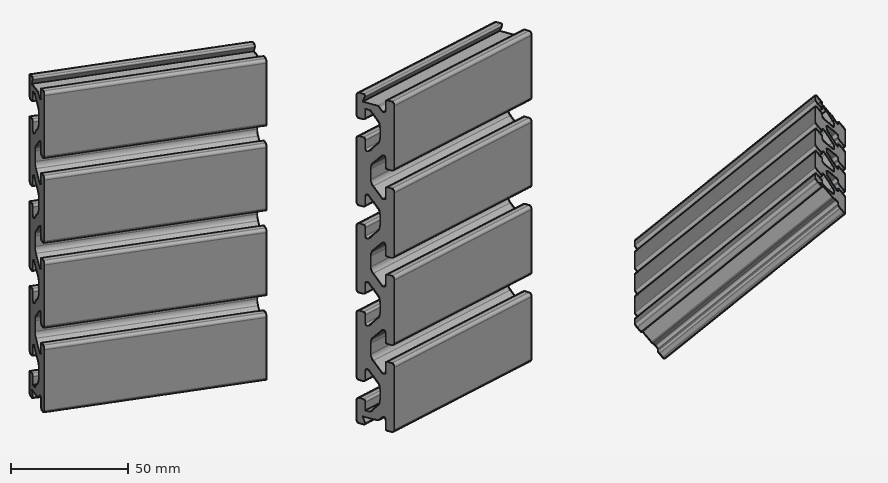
import cadquery as cq
import math


WIDTH = 20.0
LENGTH = 100.0
HEIGHT = 151.8

HALF_MOUTH = 4.1
SLOT_STEP = WIDTH
LEFT_SLOTS = (-3, -1, 1, 3)
RIGHT_SLOTS = (-2, 0, 2)
END_SLOT = 4
LIP_THICKNESS = 4.7
SLOT_DEPTH = 12.5
HALF_FLOOR = 4.1
HALF_UNDERCUT = 11.5
OUTER_LIP_RADIUS = 1.5
INNER_LIP_RADIUS = 1.0
TIP_RADIUS = 1.0
FLOOR_RADIUS = 3.8

END_DEPTH = 3.6
END_WEB = 3.0
HOOK_EDGE = 5.0
HOOK_ROOT = 3.3
HOOK_RADIUS = 0.8
END_RAMP_RADIUS = 1.0


def ramp_depth(offset):
    """Depth of the sloping slot side at an offset from the slot center."""
    ramp_share = (offset - HALF_FLOOR) / (HALF_UNDERCUT - HALF_FLOOR)
    return SLOT_DEPTH - ramp_share * (SLOT_DEPTH - LIP_THICKNESS)


def half_slot(center, side):
    """Corners (depth, z, radius) of a slot half, from the mouth to the floor."""
    return [
        (0, center + side * HALF_MOUTH, OUTER_LIP_RADIUS),
        (LIP_THICKNESS, center + side * HALF_MOUTH, INNER_LIP_RADIUS),
        (LIP_THICKNESS, center + side * HALF_UNDERCUT, TIP_RADIUS),
        (SLOT_DEPTH, center + side * HALF_FLOOR, FLOOR_RADIUS),
    ]


def end_half_slot(center, side):
    """Half of an outermost left slot, cut flat by the web below the end groove."""
    undercut_z = side * (HEIGHT / 2 - END_DEPTH - END_WEB)
    mouth_outer, mouth_inner, _, floor = half_slot(center, side)
    return [
        mouth_outer,
        mouth_inner,
        (LIP_THICKNESS, undercut_z, 0),
        (ramp_depth(abs(undercut_z - center)), undercut_z, 0),
        floor,
    ]


def left_face():
    """Corners down the left face, from the top slot to the bottom slot."""
    corners = []
    for index in reversed(LEFT_SLOTS):
        center = index * SLOT_STEP
        upper = end_half_slot if index == max(LEFT_SLOTS) else half_slot
        lower = end_half_slot if index == min(LEFT_SLOTS) else half_slot
        corners += upper(center, 1)
        corners += reversed(lower(center, -1))
    return corners


def right_face():
    """Corners up the right face, from the bottom slot to the top slot."""
    corners = []
    for index in RIGHT_SLOTS:
        center = index * SLOT_STEP
        corners += half_slot(center, -1)
        corners += reversed(half_slot(center, 1))
    return [(WIDTH - depth, z, radius) for depth, z, radius in corners]


def end_groove(side):
    """Corners of an end of the slab, from its right lip to its left hook."""
    end = side * HEIGHT / 2
    groove_floor = side * (HEIGHT / 2 - END_DEPTH)
    slot_center = END_SLOT * SLOT_STEP
    ramp_end = WIDTH - ramp_depth(slot_center - abs(groove_floor))
    return [
        (WIDTH, end, OUTER_LIP_RADIUS),
        (WIDTH - LIP_THICKNESS, end, INNER_LIP_RADIUS),
        (WIDTH - LIP_THICKNESS, side * (slot_center - HALF_UNDERCUT), TIP_RADIUS),
        (ramp_end, groove_floor, END_RAMP_RADIUS),
        (HOOK_ROOT, groove_floor, 0),
        (HOOK_EDGE, end, HOOK_RADIUS),
        (0, end, OUTER_LIP_RADIUS),
    ]


def direction(start, end):
    """Unit vector from one corner towards another."""
    return cq.Vector(end[0] - start[0], end[1] - start[1]).normalized()


def rounded_outline(plane, corners):
    """Closed outline through the corners, each rounded by a tangent arc if its radius is not 0."""
    start_x = (corners[-1][0] + corners[0][0]) / 2
    start_z = (corners[-1][1] + corners[0][1]) / 2
    outline = cq.Workplane(plane).moveTo(start_x, start_z)
    following_corners = corners[1:] + corners[:1]
    for i, (corner, following) in enumerate(zip(corners, following_corners)):
        x, z, radius = corner
        if radius == 0:
            outline = outline.lineTo(x, z)
            continue
        point = cq.Vector(x, z)
        to_previous = direction(corner, corners[i - 1])
        to_following = direction(corner, following)
        to_center = (to_previous + to_following).normalized()
        half_angle = to_previous.getAngle(to_following) / 2
        setback = radius / math.tan(half_angle)
        arc_start = point + to_previous * setback
        arc_middle = point + to_center * (radius / math.sin(half_angle) - radius)
        arc_end = point + to_following * setback
        outline = outline.lineTo(arc_start.x, arc_start.y)
        outline = outline.threePointArc((arc_middle.x, arc_middle.y), (arc_end.x, arc_end.y))
    return outline.close()


section = left_face() + end_groove(-1)[::-1] + right_face() + end_groove(1)
result = rounded_outline("XZ", section).extrude(-LENGTH)